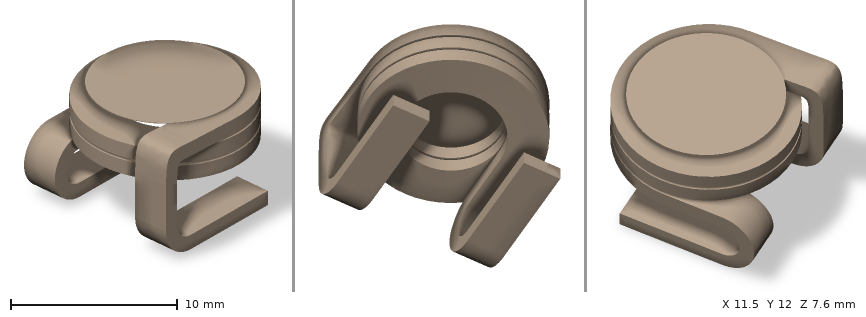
import cadquery as cq
import math


wire_width = 2.5
wire_thickness = 1.0

coil_outer_radius = 5.75
coil_mean_radius = coil_outer_radius - wire_width / 2
coil_inner_radius = coil_outer_radius - wire_width
turn_gap = 0.2
pitch = wire_thickness + turn_gap
turn_count = 2.5
lower_end_z = 3.4
upper_end_z = lower_end_z + turn_count * pitch

bend_inner_radius = (lower_end_z - wire_thickness) / 2
bend_outer_radius = bend_inner_radius + wire_thickness
bend_y = -4.04
front_y = bend_y - bend_outer_radius
foot_end_y = 2.85
outer_rim_slope = pitch / (2 * math.pi * coil_outer_radius)

upper_bend_end_z = 5.4
upper_bend_run_handle = 1.6
upper_bend_rise_handle = 2.6

disc_diameter = 9.6
disc_thickness = 0.05
disc_top_z = 7.6


def make_coil():
    """Left-handed helical ribbon from the low end at -X to the high end at +X."""
    height = turn_count * pitch
    path = cq.Wire.makeHelix(pitch, height, coil_mean_radius, lefthand=True)
    section = (
        cq.Workplane("XZ")
        .center(coil_mean_radius, 0)
        .rect(wire_width, wire_thickness)
    )
    ribbon = section.sweep(cq.Workplane(path), isFrenet=True)
    lower_end_centre_z = lower_end_z + wire_thickness / 2
    return ribbon.rotate((0, 0, 0), (0, 0, 1), 180).translate((0, 0, lower_end_centre_z))


def extrude_terminal(profile, start_x):
    """Extrude a (Y, Z) profile across the wire width, towards +X."""
    return profile.close().extrude(wire_width).translate((start_x, 0, 0))


def make_low_terminal():
    """U-shaped terminal: one half-round bend joins the lower coil end to its foot."""
    profile = (
        cq.Workplane("YZ")
        .moveTo(0, lower_end_z)
        .lineTo(bend_y, lower_end_z)
        .threePointArc((bend_y - bend_inner_radius, bend_outer_radius), (bend_y, wire_thickness))
        .lineTo(foot_end_y, wire_thickness)
        .lineTo(foot_end_y, 0)
        .lineTo(bend_y, 0)
        .threePointArc((front_y, bend_outer_radius), (bend_y, lower_end_z + wire_thickness))
        .lineTo(0, lower_end_z + wire_thickness)
    )
    return extrude_terminal(profile, -coil_outer_radius)


def upper_bend_points(bend_start_z, wall_y, handle_scale):
    """Control points of one side of the upper bend, from the sloped arm to the wall."""
    run = upper_bend_run_handle * handle_scale
    rise = upper_bend_rise_handle * handle_scale
    return [
        (bend_y, bend_start_z),
        (bend_y - run, bend_start_z + run * outer_rim_slope),
        (wall_y, upper_bend_end_z + rise),
        (wall_y, upper_bend_end_z),
    ]


def make_tall_terminal():
    """C-shaped terminal: sloped arm, upper bend, upright wall, round bend and foot."""
    arm_bottom_z = upper_end_z - bend_y * outer_rim_slope
    arm_top_z = arm_bottom_z + wire_thickness
    inner_wall_y = front_y + wire_thickness
    inner_scale = bend_inner_radius / bend_outer_radius
    inner_bend = upper_bend_points(arm_bottom_z, inner_wall_y, inner_scale)
    outer_bend = upper_bend_points(arm_top_z, front_y, 1)

    diagonal = math.sqrt(0.5)
    inner_mid = (
        bend_y - bend_inner_radius * diagonal,
        bend_outer_radius - bend_inner_radius * diagonal,
    )
    outer_mid = (
        bend_y - bend_outer_radius * diagonal,
        bend_outer_radius - bend_outer_radius * diagonal,
    )
    profile = (
        cq.Workplane("YZ")
        .moveTo(0, upper_end_z)
        .lineTo(bend_y, arm_bottom_z)
        .bezier(inner_bend)
        .lineTo(inner_wall_y, bend_outer_radius)
        .threePointArc(inner_mid, (bend_y, wire_thickness))
        .lineTo(foot_end_y, wire_thickness)
        .lineTo(foot_end_y, 0)
        .lineTo(bend_y, 0)
        .threePointArc(outer_mid, (front_y, bend_outer_radius))
        .lineTo(front_y, upper_bend_end_z)
        .bezier(outer_bend[::-1])
        .lineTo(0, upper_end_z + wire_thickness)
    )
    return extrude_terminal(profile, coil_inner_radius)


def make_winding():
    """Coil and both terminals, one continuous piece of wire."""
    return make_coil().union(make_low_terminal()).union(make_tall_terminal())


def make_marking_disc():
    """Thin round disc just above the coil."""
    return (
        cq.Workplane("XY")
        .workplane(offset=disc_top_z - disc_thickness)
        .circle(disc_diameter / 2)
        .extrude(disc_thickness)
    )


winding = make_winding()
marking_disc = make_marking_disc()

result = cq.Compound.makeCompound([winding.solids().val(), marking_disc.val()])